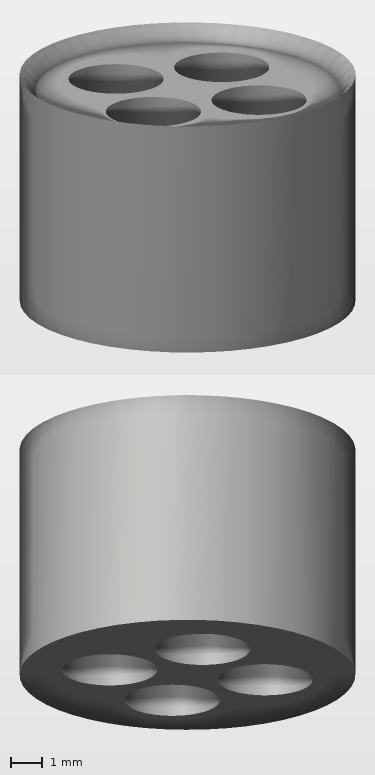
import cadquery as cq

body_diameter = 10.6
body_height = 7.5

recess_depth = 0.5
recess_floor_diameter = 9.6

hole_diameter = 3.0
hole_count = 4
hole_circle_radius = 2.5


def dished_body():
    """Cylinder with the conical recess, revolved from its half section about Z."""
    outer_radius = body_diameter / 2
    floor_radius = recess_floor_diameter / 2
    floor_height = body_height - recess_depth
    half_section = (
        cq.Workplane("XZ")
        .moveTo(0, 0)
        .lineTo(outer_radius, 0)
        .lineTo(outer_radius, body_height)
        .lineTo(floor_radius, floor_height)
        .lineTo(0, floor_height)
        .close()
    )
    return half_section.revolve(360, (0, 0, 0), (0, 1, 0))


def through_holes():
    """Cylinders that cut the holes through the full height of the body."""
    return (
        cq.Workplane("XY")
        .polarArray(hole_circle_radius, 0, 360, hole_count)
        .circle(hole_diameter / 2)
        .extrude(body_height)
    )


result = dished_body().cut(through_holes())